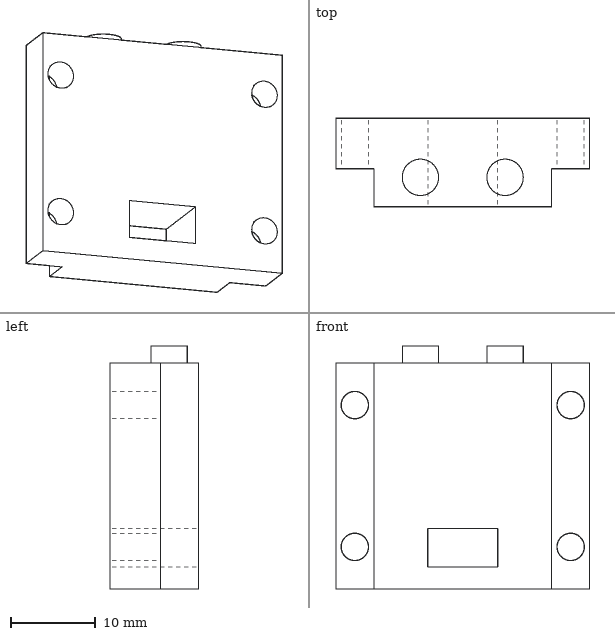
import cadquery as cq

body_height = 26.75
flange_width = 30.0
flange_thickness = 6.0
block_width = 21.0
block_projection = 4.5
total_depth = flange_thickness + block_projection

mount_hole_diameter = 3.2
mount_hole_end_distance = 5.0
mount_hole_x = (flange_width + block_width) / 4
mount_hole_heights = (mount_hole_end_distance, body_height - mount_hole_end_distance)

window_width = 8.25
window_height = 4.5
window_bottom = 2.65

pin_diameter = 4.3
pin_height = 2.0
pin_spacing = 10.0
pin_y = 3.5


def centred_box(width, depth, height, front_y, bottom_z):
    """Box centred on X, starting at the given front and bottom."""
    return (
        cq.Workplane("XY")
        .box(width, depth, height, centered=(True, False, False))
        .translate((0, front_y, bottom_z))
    )


def make_body():
    """Raised front block joined to the wider flange plate behind it."""
    block = centred_box(block_width, total_depth, body_height, 0, 0)
    flange = centred_box(flange_width, flange_thickness, body_height, block_projection, 0)
    return block.union(flange)


def make_mount_holes():
    """Four cylinders along Y, one near each corner of the flange."""
    centres = [(x, z) for x in (-mount_hole_x, mount_hole_x) for z in mount_hole_heights]
    return (
        cq.Workplane("XZ")
        .pushPoints(centres)
        .circle(mount_hole_diameter / 2)
        .extrude(-total_depth)
    )


def make_window():
    return centred_box(window_width, total_depth, window_height, 0, window_bottom)


def make_pins():
    """Two round pins standing on the top face."""
    return (
        cq.Workplane("XY", origin=(0, pin_y, body_height))
        .pushPoints([(-pin_spacing / 2, 0), (pin_spacing / 2, 0)])
        .circle(pin_diameter / 2)
        .extrude(pin_height)
    )


result = make_body().cut(make_mount_holes()).cut(make_window()).union(make_pins())